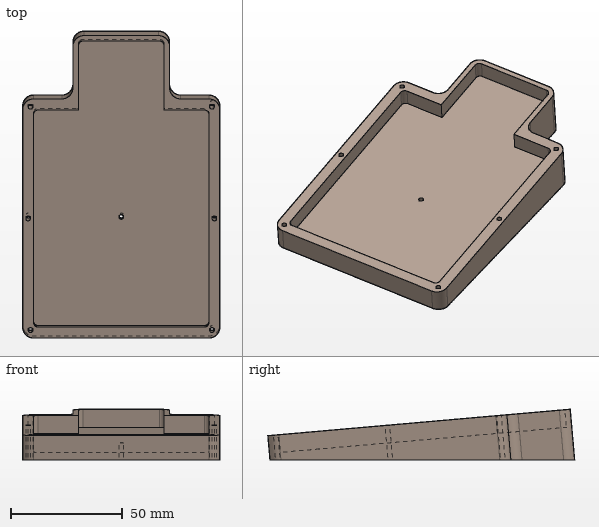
import cadquery as cq
import math

width = 88.2
total_length = 137.2
total_height = 22.8
tilt = 5.0
body_along = 107.3
neck_width = 43.2
wall = 5.0
neck_wall = 2.5
pocket_depth = 8.0
outer_radius = 5.0
pocket_radius = 2.0
hole_diameter = 2.0
corner_hole_inset = 3.5
side_hole_inset = wall / 2

tilt_angle = math.radians(tilt)
rim_run = total_length - total_height * math.tan(tilt_angle)
rim_along = rim_run / math.cos(tilt_angle)
front_height = total_height - rim_run * math.tan(tilt_angle)
cut_depth = 2 * total_height

rim_plane = cq.Plane(
    origin=(0, -total_length / 2, front_height),
    xDir=(1, 0, 0),
    normal=(0, -math.sin(tilt_angle), math.cos(tilt_angle)),
)


def block(block_width, start, end, depth):
    """Block centred on X, sunk square to the rim between two distances along it."""
    return (
        cq.Workplane(rim_plane)
        .center(0, (start + end) / 2)
        .rect(block_width, end - start)
        .extrude(-depth)
    )


def make_body():
    """Wide body with a narrow neck, all upright edges rounded, cut flat at Z = 0."""
    body = block(width, 0, body_along, cut_depth)
    neck = block(neck_width, body_along / 2, rim_along, cut_depth)
    outline = body.union(neck)
    upright = cq.selectors.ParallelDirSelector(rim_plane.zDir)
    rounded = outline.edges(upright).fillet(outer_radius)
    above_base = cq.Workplane("XY").box(
        2 * width, 2 * total_length, 2 * total_height, centered=(True, True, False)
    )
    return rounded.intersect(above_base)


def make_pocket():
    """Pocket parallel to the rim; outer corners rounded, corners at the neck sharp."""
    upright = cq.selectors.ParallelDirSelector(rim_plane.zDir)
    main = block(width - 2 * wall, wall, body_along - wall, pocket_depth)
    neck = block(neck_width - 2 * neck_wall, body_along / 2, rim_along - neck_wall, pocket_depth)
    return main.edges(upright).fillet(pocket_radius).union(
        neck.edges(upright).fillet(pocket_radius)
    )


def make_holes():
    """Through holes square to the rim: corners, side middles and pocket centre."""
    corner_x = width / 2 - corner_hole_inset
    side_x = width / 2 - side_hole_inset
    middle = body_along / 2
    points = [(0, middle)]
    for side in (-1, 1):
        points.append((side * corner_x, corner_hole_inset))
        points.append((side * side_x, middle))
        points.append((side * corner_x, body_along - corner_hole_inset))
    return (
        cq.Workplane(rim_plane)
        .pushPoints(points)
        .circle(hole_diameter / 2)
        .extrude(-cut_depth)
    )


result = make_body().cut(make_pocket()).cut(make_holes())